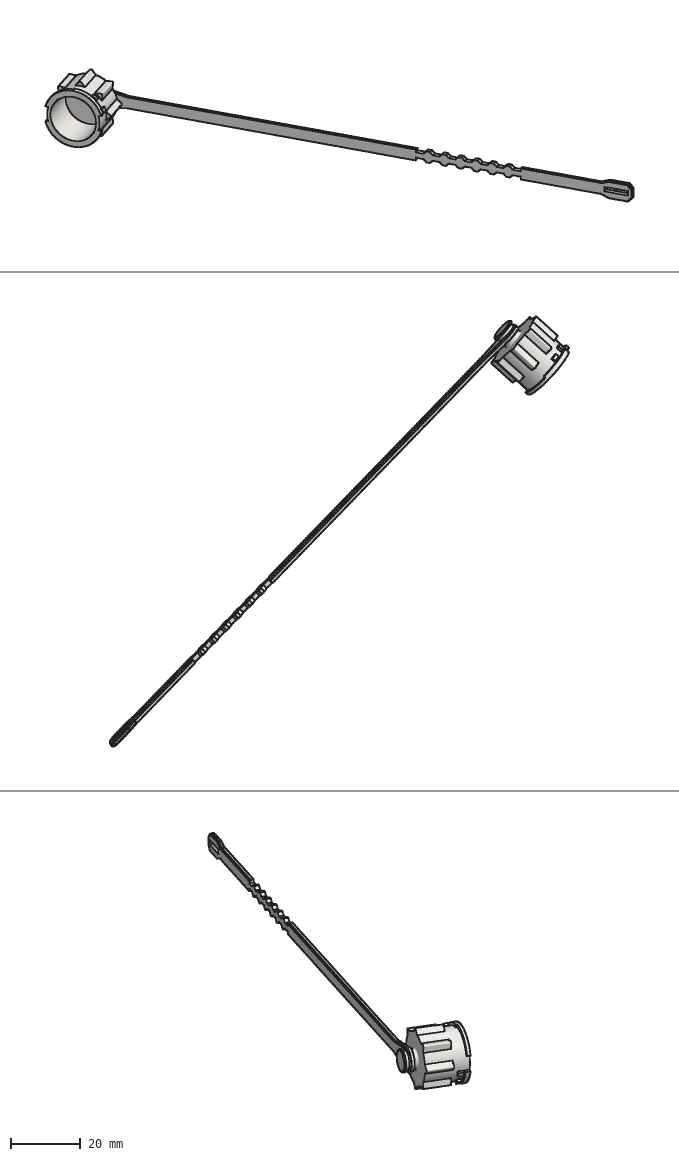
import cadquery as cq
import math

cap_length = 13.7
barrel_radius = 8.1
bore_radius = 7.0
end_wall = 2.1

rib_count = 8
rib_tip_radius = 9.5
rib_base_half_width = 1.5
rib_tip_half_width = 0.4
rib_tip_rise = 0.2
rib_start = 5.3

rim_radius = 9.0
rim_thin = 1.0
rim_thick = 1.5
rim_gap_angle = 16
rim_step_angle = 92
stop_end_angle = 25
lug_start_angle = 44
lug_end_angle = 56
lug_top = 3.2
stop_top = 3.7
lug_base = 2.0

total_length = 18.3
neck_radius = 3.0
knob_radius = 3.5
knob_length = 0.5
knob_chamfer = 0.4
collar_fillet = knob_radius - neck_radius

strap_front = 15.1
strap_thickness = 1.5
back_thickness = 0.5
strap_half_width = 1.8
back_inset = 0.2
eye_chamfer = 0.26
ring_radius = knob_radius
taper_end = 10.4
overall_length = 176
strap_end = overall_length - rib_tip_radius

ridge_count = 6
ridge_pitch = 5.0
ridge_middle = 115.8
ridge_top_width = 1.0
ridge_base_width = 3.0
ridge_row_length = 32.4
core_half_width = 0.9

eye_start = 156.4
eye_shoulder = 159.0
eye_nose = 165.0
eye_half_width = 2.8
nose_half_width = 1.2
slot_start = 157.8
slot_end = 165.0
slot_half_width = 0.7


def plane_at(y):
    """XZ sketch plane at y whose extrusions run toward +Y when negative."""
    return cq.Workplane("XZ", origin=(0, y, 0))


def on_circle(radius, degrees):
    angle = math.radians(degrees)
    return (radius * math.cos(angle), radius * math.sin(angle))


def ring_sector(outer_radius, y_start, y_end, start_angle, end_angle):
    """Part of a ring from inside the barrel wall out to outer_radius."""
    inner_radius = (bore_radius + barrel_radius) / 2
    middle_angle = (start_angle + end_angle) / 2
    return (
        plane_at(y_start)
        .moveTo(*on_circle(inner_radius, start_angle))
        .lineTo(*on_circle(outer_radius, start_angle))
        .threePointArc(on_circle(outer_radius, middle_angle), on_circle(outer_radius, end_angle))
        .lineTo(*on_circle(inner_radius, end_angle))
        .threePointArc(on_circle(inner_radius, middle_angle), on_circle(inner_radius, start_angle))
        .close()
        .extrude(y_start - y_end)
    )


def make_shell():
    """Barrel, bore, neck and knob turned about the Y axis."""
    knob_start = total_length - knob_length
    floor = cap_length - end_wall
    arc_offset = collar_fillet * (1 - math.sqrt(0.5))
    outer_wall = [
        (bore_radius, 0),
        (barrel_radius, 0),
        (barrel_radius, cap_length),
        (knob_radius, cap_length),
    ]
    knob_and_bore = [
        (neck_radius, knob_start),
        (knob_radius, knob_start),
        (knob_radius, total_length - knob_chamfer),
        (knob_radius - knob_chamfer, total_length),
        (0, total_length),
        (0, floor),
        (bore_radius, floor),
    ]
    return (
        cq.Workplane("XY")
        .polyline(outer_wall)
        .threePointArc(
            (neck_radius + arc_offset, cap_length + arc_offset),
            (neck_radius, cap_length + collar_fillet),
        )
        .polyline(knob_and_bore, includeCurrent=True)
        .close()
        .revolve(360, (0, 0), (0, 1))
    )


def make_rib(angle):
    """Tapered grip rib with a rounded tip, rooted inside the barrel wall."""
    root_radius = (bore_radius + barrel_radius) / 2
    base_radius = math.sqrt(barrel_radius**2 - rib_base_half_width**2)
    shoulder_radius = rib_tip_radius - rib_tip_rise
    rib = (
        plane_at(rib_start)
        .moveTo(root_radius, -rib_base_half_width)
        .lineTo(base_radius, -rib_base_half_width)
        .lineTo(shoulder_radius, -rib_tip_half_width)
        .threePointArc((rib_tip_radius, 0), (shoulder_radius, rib_tip_half_width))
        .lineTo(base_radius, rib_base_half_width)
        .lineTo(root_radius, rib_base_half_width)
        .close()
        .extrude(rib_start - cap_length)
    )
    return rib.rotate((0, 0, 0), (0, 1, 0), angle)


def make_rim_half(turn):
    """Stepped rim segment with a stop and a small lug standing just behind its thick part."""
    step = turn + rim_step_angle
    start = turn + rim_gap_angle
    end = turn + 180 - rim_gap_angle
    thick = ring_sector(rim_radius, 0, rim_thick, start, step)
    thin = ring_sector(rim_radius, 0, rim_thin, step, end)
    stop = ring_sector(rim_radius, lug_base, stop_top, start, turn + stop_end_angle)
    lug = ring_sector(rim_radius, lug_base, lug_top, turn + lug_start_angle, turn + lug_end_angle)
    return thick.union(thin).union(stop).union(lug)


def make_cap():
    cap = make_shell()
    for index in range(rib_count):
        cap = cap.union(make_rib(index * 360 / rib_count))
    for turn in (0, 180):
        cap = cap.union(make_rim_half(turn))
    return cap


def upper_edge(inset):
    """Upper edge from the ring's tangent point to the free end; the ridges are never inset."""
    ring = ring_radius - inset
    half_width = strap_half_width - inset
    tangent_angle = math.degrees(
        math.atan2(half_width, taper_end) + math.acos(ring / math.hypot(taper_end, half_width))
    )
    row_start = ridge_middle - ridge_row_length / 2
    row_end = ridge_middle + ridge_row_length / 2
    edge = [
        on_circle(ring, tangent_angle),
        (taper_end, half_width),
        (row_start, half_width),
        (row_start, core_half_width),
    ]
    for index in range(ridge_count):
        centre = ridge_middle + (index - (ridge_count - 1) / 2) * ridge_pitch
        edge += [
            (centre - ridge_base_width / 2, core_half_width),
            (centre - ridge_top_width / 2, strap_half_width),
            (centre + ridge_top_width / 2, strap_half_width),
            (centre + ridge_base_width / 2, core_half_width),
        ]
    edge += [
        (row_end, core_half_width),
        (row_end, half_width),
        (eye_start, half_width),
        (eye_shoulder, eye_half_width - inset),
        (eye_nose, eye_half_width - inset),
        (strap_end - inset, nose_half_width),
    ]
    return edge


def make_strap_layer(y_start, thickness, inset):
    upper = upper_edge(inset)
    lower = [(x, -z) for x, z in reversed(upper)]
    return (
        plane_at(y_start)
        .polyline(upper + lower)
        .threePointArc((inset - ring_radius, 0), upper[0])
        .close()
        .extrude(-thickness)
    )


def make_tether():
    """Wide front layer and narrower back layer, pierced by the neck hole and the eye's slot."""
    front_thickness = strap_thickness - back_thickness
    eye_region = cq.selectors.BoxSelector(
        (eye_start, strap_front - eye_chamfer, -knob_radius),
        (strap_end + eye_chamfer, strap_front + eye_chamfer, knob_radius),
    )
    front = make_strap_layer(strap_front, front_thickness, 0).edges(eye_region).chamfer(eye_chamfer)
    back = make_strap_layer(strap_front + front_thickness, back_thickness, back_inset)
    neck_hole = plane_at(strap_front).circle(neck_radius).extrude(-strap_thickness)
    slot = (
        plane_at(strap_front)
        .center((slot_start + slot_end) / 2, 0)
        .rect(slot_end - slot_start, 2 * slot_half_width)
        .extrude(-strap_thickness)
    )
    return front.union(back).cut(neck_hole).cut(slot)


cap = make_cap()
tether = make_tether()
result = cq.Compound.makeCompound([cap.val(), tether.val()])